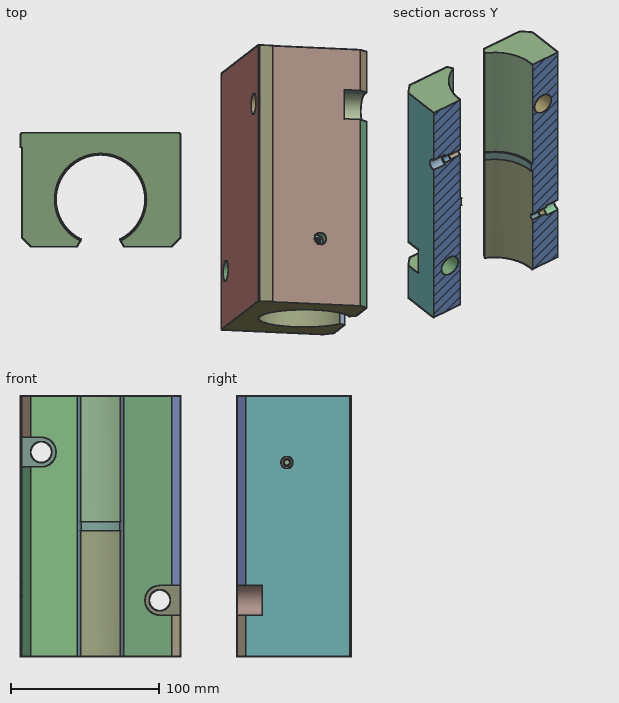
import cadquery as cq
import math

height = 176.0
width = 108.0
depth = 77.0
right_x = width / 2
ledge_x = -width / 2
ledge_step = 1.0
left_x = ledge_x + ledge_step
ledge_depth = 10.0
back_y = 45.0
front_y = back_y - depth
front_chamfer = 6.0
back_chamfer = 1.0

bore_radius = 31.0
band_radius = 30.0
band_height = 6.0
gap_half_width = 15.8
gap_flare_angle = 30.0

mount_x = 40.0
mount_z = 50.0
mount_hole_diameter = 14.0
pocket_width = 20.0
pocket_depth = 17.0

side_hole_y = 1.7
side_hole_z = 43.0
side_hole_diameters = (8.0, 5.0, 4.0)
side_hole_step_depths = (10.0, 15.0, right_x)


def make_block():
    outline = [
        (left_x + front_chamfer, front_y),
        (right_x - front_chamfer, front_y),
        (right_x, front_y + front_chamfer),
        (right_x, back_y - back_chamfer),
        (right_x - back_chamfer, back_y),
        (ledge_x + back_chamfer, back_y),
        (ledge_x, back_y - back_chamfer),
        (ledge_x, back_y - ledge_depth),
        (left_x, back_y - ledge_depth),
        (left_x, front_y + front_chamfer),
    ]
    return cq.Workplane("XY").polyline(outline).close().extrude(height / 2, both=True)


def make_bore():
    """Bore cutter: full size above and below the band, slightly smaller through it."""
    bore = cq.Workplane("XY").circle(bore_radius).extrude(height / 2, both=True)
    band_ring = (
        cq.Workplane("XY")
        .circle(bore_radius)
        .circle(band_radius)
        .extrude(band_height / 2, both=True)
    )
    return bore.cut(band_ring)


def make_gap():
    """Triangular cutter whose sloping sides are the flared lips of the front gap."""
    apex_y = front_y + gap_half_width / math.tan(math.radians(gap_flare_angle))
    outline = [(-gap_half_width, front_y), (gap_half_width, front_y), (0, apex_y)]
    return cq.Workplane("XY").polyline(outline).close().extrude(height / 2, both=True)


def make_mount(side):
    """Through hole and pocket cutter; side is -1 (left, upper) or 1 (right, lower)."""
    x = side * mount_x
    z = -side * mount_z
    run_out = width / 2 - mount_x
    front = cq.Workplane("XZ", origin=(0, front_y, 0))
    hole = front.center(x, z).circle(mount_hole_diameter / 2).extrude(-depth)
    round_end = front.center(x, z).circle(pocket_width / 2).extrude(-pocket_depth)
    open_end = (
        front.center(x + side * run_out / 2, z)
        .rect(run_out, pocket_width)
        .extrude(-pocket_depth)
    )
    return hole.union(round_end).union(open_end)


def make_side_hole(side):
    """Stepped hole cutter; side is -1 (left, lower) or 1 (right, upper)."""
    face_x = left_x if side < 0 else right_x
    start = cq.Vector(face_x, side_hole_y, side * side_hole_z)
    inward = cq.Vector(-side, 0, 0)
    cutter = cq.Workplane("XY")
    for diameter, step_depth in zip(side_hole_diameters, side_hole_step_depths):
        cutter = cutter.add(cq.Solid.makeCylinder(diameter / 2, step_depth, start, inward))
    return cutter.combine()


result = make_block().cut(make_bore()).cut(make_gap())
for side in (-1, 1):
    result = result.cut(make_mount(side)).cut(make_side_hole(side))